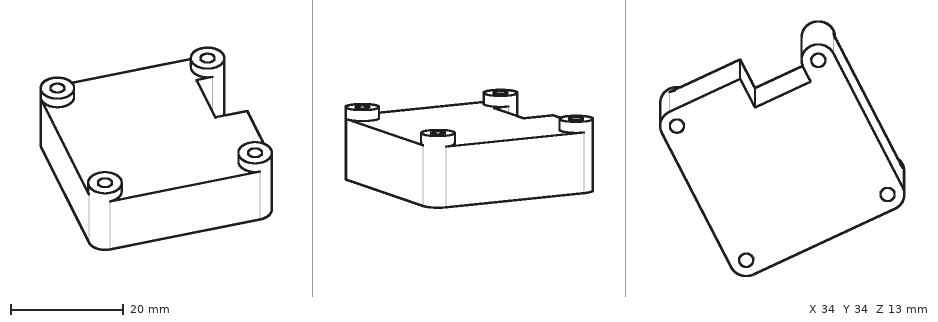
import cadquery as cq

side = 34.0
total_height = 13.0
body_height = 11.0
post_diameter = 6.0
hole_diameter = 2.5
notch_end_x = 0.0

half_side = side / 2
post_radius = post_diameter / 2
post_offset = half_side - post_radius
post_spacing = 2 * post_offset
notch_start_x = -half_side + post_diameter
notch_floor_y = half_side - post_diameter


def make_body():
    """Square block with a notch beside the back-left post.

    The corners are cut straight between tangent points; the posts round them out.
    """
    outline = [
        (-post_offset, -half_side),
        (post_offset, -half_side),
        (half_side, -post_offset),
        (half_side, post_offset),
        (post_offset, half_side),
        (notch_end_x, half_side),
        (notch_end_x, notch_floor_y),
        (notch_start_x, notch_floor_y),
        (notch_start_x, post_offset),
        (-half_side, post_offset),
        (-half_side, -post_offset),
    ]
    return cq.Workplane("XY").polyline(outline).close().extrude(body_height)


def at_corners():
    """Workplane with one point at each post centre."""
    return cq.Workplane("XY").rect(post_spacing, post_spacing, forConstruction=True).vertices()


posts = at_corners().circle(post_radius).extrude(total_height)
holes = at_corners().circle(hole_diameter / 2).extrude(total_height)

result = make_body().union(posts).cut(holes)